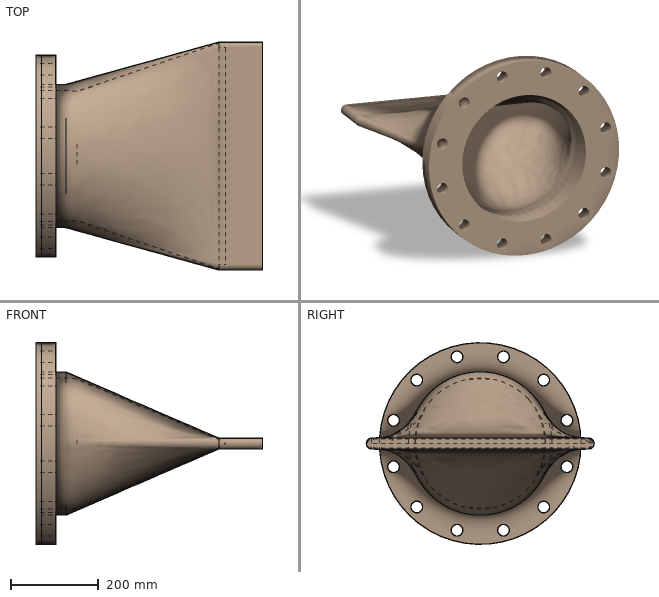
import cadquery as cq
import math

overall_length = 517.0
face_thickness = 13.0
ring_thickness = 32.0
collar_length = 23.5
entry_length = 25.0
lip_length = 100.0
ring_end = face_thickness + ring_thickness
neck_end = ring_end + collar_length
entry_end = neck_end + entry_length
lip_start = overall_length - lip_length

flange_diameter = 460.0
bolt_circle_diameter = 409.0
bolt_hole_diameter = 26.0
bolt_count = 12
bolt_pitch_angle = 360 / bolt_count

neck_diameter = 327.0
lip_width = 520.0
lip_height = 25.0
side_strip_height = 15.5

bore_diameter = 299.0
entry_diameter = 295.5
lip_wall = 2.5
cavity_height = lip_height - 2 * lip_wall
cavity_width = lip_width - 2 * lip_wall
nose_length = 15.5


def cross_section(station):
    """Workplane across the flow axis: local x is +Y, local y is +Z."""
    return cq.Workplane("YZ", origin=(station, 0, 0))


def disc(start, end, diameter):
    """Solid cylinder along X between two stations."""
    return cross_section(start).circle(diameter / 2).extrude(end - start)


def bolt_holes(start, end):
    """Ring of bolt hole cutters straddling the vertical centreline."""
    return (
        cross_section(start)
        .polarArray(bolt_circle_diameter / 2, bolt_pitch_angle / 2, 360, bolt_count)
        .circle(bolt_hole_diameter / 2)
        .extrude(end - start)
    )


def split_circle(station, diameter):
    """Circle in four arcs: broad top and bottom arcs, short arcs at the sides."""
    radius = diameter / 2
    corner_z = side_strip_height / 2
    corner_y = math.sqrt(radius**2 - corner_z**2)
    return (
        cross_section(station)
        .moveTo(corner_y, corner_z)
        .threePointArc((0, radius), (-corner_y, corner_z))
        .threePointArc((-radius, 0), (-corner_y, -corner_z))
        .threePointArc((0, -radius), (corner_y, -corner_z))
        .threePointArc((radius, 0), (corner_y, corner_z))
        .close()
        .val()
    )


def flat_slot(station, width, height):
    """Slot outline with semicircular ends, in the same four-piece order as split_circle."""
    corner_z = height / 2
    corner_y = width / 2 - corner_z
    return (
        cross_section(station)
        .moveTo(corner_y, corner_z)
        .lineTo(-corner_y, corner_z)
        .threePointArc((-width / 2, 0), (-corner_y, -corner_z))
        .lineTo(corner_y, -corner_z)
        .threePointArc((width / 2, 0), (corner_y, corner_z))
        .close()
        .val()
    )


def circle_to_slot(start, diameter, width, height):
    """Ruled transition from a circle at start to a flat slot where the lip begins."""
    outlines = [split_circle(start, diameter), flat_slot(lip_start, width, height)]
    return cq.Workplane(cq.Solid.makeLoft(outlines, True))


def outlet_lip():
    """Flat outlet lip with full-round side edges."""
    return cross_section(lip_start).slot2D(lip_width, lip_height).extrude(lip_length)


def cavity_entry():
    """Short taper from the bore into the flattening passage."""
    return (
        cross_section(neck_end)
        .circle(bore_diameter / 2)
        .workplane(offset=entry_length)
        .circle(entry_diameter / 2)
        .loft(ruled=True)
    )


def cavity_nose():
    """V-shaped closed end of the cavity, running across the lip."""
    nose_width = cavity_width - cavity_height
    return (
        cq.Workplane("XZ", origin=(0, nose_width / 2, 0))
        .moveTo(lip_start, cavity_height / 2)
        .lineTo(lip_start + nose_length, 0)
        .lineTo(lip_start, -cavity_height / 2)
        .close()
        .extrude(nose_width)
    )


def flow_cavity():
    """Bore, entry taper, flattening passage and closed nose as one cutter."""
    bore = disc(0, neck_end, bore_diameter)
    passage = circle_to_slot(entry_end, entry_diameter, cavity_width, cavity_height)
    return bore.union(cavity_entry()).union(passage).union(cavity_nose())


def build_duckbill_valve():
    """One-piece duckbill sleeve with its thin face flange."""
    face = disc(0, face_thickness, flange_diameter).cut(bolt_holes(0, face_thickness))
    neck = disc(0, neck_end, neck_diameter)
    bill = circle_to_slot(neck_end, neck_diameter, lip_width, lip_height)
    return face.union(neck).union(bill).union(outlet_lip()).cut(flow_cavity())


def build_backing_ring():
    """Backing ring seated behind the face flange, around the neck."""
    return (
        disc(face_thickness, ring_end, flange_diameter)
        .cut(disc(face_thickness, ring_end, neck_diameter))
        .cut(bolt_holes(face_thickness, ring_end))
    )


duckbill_valve = build_duckbill_valve()
backing_ring = build_backing_ring()

result = cq.Compound.makeCompound([duckbill_valve.solids().val(), backing_ring.solids().val()])